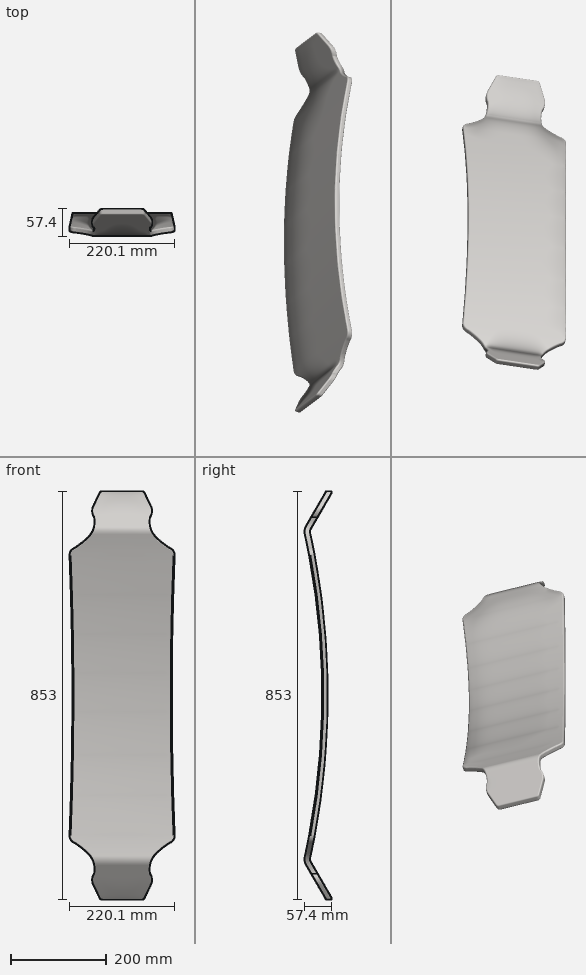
import cadquery as cq
import math

length = 853.0
max_width = 221.0
waist_width = 208.0
thickness = 12.0
edge_radius = 3.0

bow_radius = 1569.0
bend_height = 345.0
tail_angle = 30.1
front_bend_radius = 24.0
back_bend_radius = front_bend_radius - thickness

tip_corner = (45.0, length / 2)
lobe_corner = (66.0, 384.0)
scoop_end = (96.0, 309.5)
shoulder_corner = (max_width / 2, 302.0)
tip_corner_radius = 7.0
lobe_corner_radius = 21.0
shoulder_corner_radius = 17.0

neck_half_width = 57.6
neck_height = 362.0
neck_radius = 46.0
neck_angle_above = 12.0
neck_angle_below = 46.0

overhang = 26.0
outline_half_depth = 170.5

parallel_limit = 0.99
tip_tolerance = 0.1


def mirror_z(point):
    return (point[0], -point[1])


def bow_point(radius, z):
    """(Y, Z) on an arc about the bow centre, which lies on the -Y side of the deck."""
    return (math.sqrt(radius**2 - z**2) - bow_radius, z)


def neck_point(angle):
    """(X, Z) on the neck arc; angle zero is the narrowest place, positive is upward."""
    turn = math.radians(angle)
    centre_x = neck_half_width + neck_radius
    return (centre_x - neck_radius * math.cos(turn), neck_height + neck_radius * math.sin(turn))


def tangent_arc_middle(start, end, start_angle):
    """Middle of the arc from start to end that leaves start at start_angle away from -Z toward +X."""
    run = end[0] - start[0]
    fall = start[1] - end[1]
    half_turn = math.atan2(run, fall) - math.radians(start_angle)
    sag_ratio = math.tan(half_turn / 2) / 2
    return (
        (start[0] + end[0]) / 2 - sag_ratio * fall,
        (start[1] + end[1]) / 2 - sag_ratio * run,
    )


def round_edge_at(solid, x, y, z, radius):
    """Round the edge whose middle is nearest to the given point."""
    return solid.edges(cq.selectors.NearestToPointSelector((x, y, z))).fillet(radius)


def make_sheet():
    """Bent sheet of constant thickness that overhangs the outline on all sides."""
    tail_slope = math.tan(math.radians(tail_angle))
    sheet_end = length / 2 + overhang
    back_radius = bow_radius + thickness

    front_bend = bow_point(bow_radius, bend_height)
    front_end = (front_bend[0] + (sheet_end - bend_height) * tail_slope, sheet_end)
    back_end = (front_end[0] + thickness / math.cos(math.radians(tail_angle)), sheet_end)

    foot = back_end[0] - sheet_end * tail_slope + bow_radius
    quad_a = 1 + tail_slope**2
    half_b = foot * tail_slope
    quad_c = foot**2 - back_radius**2
    back_bend_height = (math.sqrt(half_b**2 - quad_a * quad_c) - half_b) / quad_a
    back_bend = bow_point(back_radius, back_bend_height)

    sheet = (
        cq.Workplane("YZ")
        .moveTo(*front_end)
        .lineTo(*front_bend)
        .threePointArc(bow_point(bow_radius, 0), mirror_z(front_bend))
        .lineTo(*mirror_z(front_end))
        .lineTo(*mirror_z(back_end))
        .lineTo(*mirror_z(back_bend))
        .threePointArc(bow_point(back_radius, 0), back_bend)
        .lineTo(*back_end)
        .close()
        .extrude(max_width / 2 + overhang, both=True)
    )
    for bend, radius in ((front_bend, front_bend_radius), (back_bend, back_bend_radius)):
        for y, z in (bend, mirror_z(bend)):
            sheet = round_edge_at(sheet, 0, y, z, radius)
    return sheet


def make_half_outline():
    """Right half of the deck outline, made solid along Y, with its corners rounded."""
    neck_top = neck_point(neck_angle_above)
    neck_middle = neck_point((neck_angle_above - neck_angle_below) / 2)
    neck_bottom = neck_point(-neck_angle_below)
    scoop_middle = tangent_arc_middle(neck_bottom, scoop_end, neck_angle_below)

    outline = (
        cq.Workplane("XZ")
        .moveTo(0, length / 2)
        .lineTo(*tip_corner)
        .lineTo(*lobe_corner)
        .lineTo(*neck_top)
        .threePointArc(neck_middle, neck_bottom)
        .threePointArc(scoop_middle, scoop_end)
        .lineTo(*shoulder_corner)
        .threePointArc((waist_width / 2, 0), mirror_z(shoulder_corner))
        .lineTo(*mirror_z(scoop_end))
        .threePointArc(mirror_z(scoop_middle), mirror_z(neck_bottom))
        .threePointArc(mirror_z(neck_middle), mirror_z(neck_top))
        .lineTo(*mirror_z(lobe_corner))
        .lineTo(*mirror_z(tip_corner))
        .lineTo(0, -length / 2)
        .close()
        .extrude(outline_half_depth, both=True)
    )
    rounded_corners = (
        (tip_corner, tip_corner_radius),
        (lobe_corner, lobe_corner_radius),
        (shoulder_corner, shoulder_corner_radius),
    )
    for corner, radius in rounded_corners:
        for x, z in (corner, mirror_z(corner)):
            outline = round_edge_at(outline, x, 0, z, radius)
    return outline


def is_rim(edge):
    """True for the edges where the front and back faces meet the side wall."""
    direction = edge.tangentAt(0.5)
    crosses_wall = abs(direction.y) > parallel_limit
    across_width = abs(direction.x) > parallel_limit
    at_tip = abs(edge.Center().z) > length / 2 - tip_tolerance
    return not crosses_wall and (at_tip or not across_width)


half_outline = make_half_outline()
full_outline = half_outline.union(half_outline.mirror("YZ"))
deck = make_sheet().intersect(full_outline)

rim_edges = [edge for edge in deck.edges().vals() if is_rim(edge)]
result = deck.newObject(rim_edges).fillet(edge_radius)